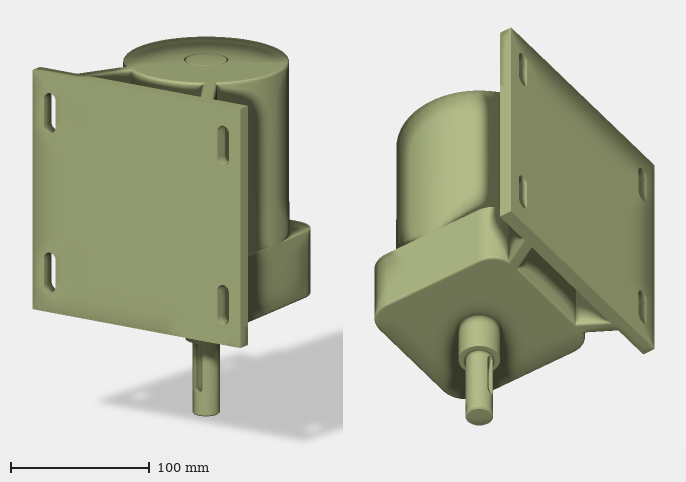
import cadquery as cq
import math

PLATE_SIZE = 180.0
PLATE_THICKNESS = 10.0
SLOT_WIDTH = 10.0
SLOT_LENGTH = 30.0
SLOT_SPACING_X = 150.0
SLOT_SPACING_Z = 120.0

OVERALL_DEPTH = 151.38
GEARBOX_WIDTH = 120.0
GEARBOX_HEIGHT = 50.0
GEARBOX_BACK_RADIUS = 20.0
GEARBOX_FRONT_RADIUS = 18.62
MOTOR_DIAMETER = GEARBOX_WIDTH
EDGE_RADIUS = 2.0

GROOVE_DIAMETER = 32.0
GROOVE_DEPTH = 2.0
LEDGE_DIAMETER = 31.0
LEDGE_HEIGHT = 0.5
REAR_SHAFT_DIAMETER = 30.0
REAR_SHAFT_RADIUS = 0.5

LEG_THICKNESS = 10.0
LEG_ANGLE = 60.0
LEG_FOOT_SPAN = GEARBOX_WIDTH
LEG_ROOT_OVERLAP = 5.0

COLLAR_DIAMETER = 30.0
COLLAR_LENGTH = 30.0
SHAFT_DIAMETER = 20.0
SHAFT_LENGTH = 56.0
SHAFT_CHAMFER = 1.0
KEYWAY_WIDTH = 6.0
KEYWAY_LENGTH = 36.0
KEYWAY_DEPTH = 3.5
KEYWAY_TOP_GAP = 2.0

PLATE_FRONT_Y = GEARBOX_WIDTH / 2 - OVERALL_DEPTH
PLATE_BACK_Y = PLATE_FRONT_Y + PLATE_THICKNESS


def make_body():
    """Gearbox, motor and legs, rounded around their top and bottom edges."""
    gearbox = (
        cq.Workplane("XY")
        .rect(GEARBOX_WIDTH, GEARBOX_WIDTH)
        .extrude(GEARBOX_HEIGHT)
        .edges("|Z and >Y")
        .fillet(GEARBOX_BACK_RADIUS)
        .edges("|Z and <Y")
        .fillet(GEARBOX_FRONT_RADIUS)
    )
    motor = cq.Workplane("XY").circle(MOTOR_DIAMETER / 2).extrude(PLATE_SIZE)
    body = gearbox.union(motor)
    for side in (-1, 1):
        body = body.union(make_leg(side))
    body = body.faces("<Z or >Z").edges().fillet(EDGE_RADIUS)
    root_trim = cq.Workplane("XY").box(
        PLATE_SIZE, LEG_ROOT_OVERLAP, PLATE_SIZE, centered=(True, False, False)
    )
    return body.cut(root_trim.translate((0, PLATE_BACK_Y - LEG_ROOT_OVERLAP, 0)))


def make_leg(side):
    """Full-height wall on the -X or +X side, running from the plate up into the motor."""
    slope = math.radians(LEG_ANGLE)
    foot_width = LEG_THICKNESS / math.sin(slope)
    root_y = PLATE_BACK_Y - LEG_ROOT_OVERLAP
    head_y = -MOTOR_DIAMETER / 4

    def outer_x(y):
        return LEG_FOOT_SPAN / 2 - (y - PLATE_BACK_Y) / math.tan(slope)

    return (
        cq.Workplane("XY")
        .moveTo(side * outer_x(root_y), root_y)
        .lineTo(side * outer_x(head_y), head_y)
        .lineTo(side * (outer_x(head_y) - foot_width), head_y)
        .lineTo(side * (outer_x(root_y) - foot_width), root_y)
        .close()
        .extrude(PLATE_SIZE)
    )


def make_plate():
    """Square plate with four upright through slots."""
    plate = cq.Workplane("XY").box(
        PLATE_SIZE, PLATE_THICKNESS, PLATE_SIZE, centered=(True, False, False)
    )
    slots = (
        cq.Workplane("XZ")
        .center(0, PLATE_SIZE / 2)
        .rarray(SLOT_SPACING_X, SLOT_SPACING_Z, 2, 2)
        .slot2D(SLOT_LENGTH, SLOT_WIDTH, 90)
        .extrude(-PLATE_THICKNESS)
    )
    return plate.cut(slots).translate((0, PLATE_FRONT_Y, 0))


def make_shaft():
    """Collar and keyed shaft, hanging down from the gearbox."""
    collar = cq.Workplane("XY").circle(COLLAR_DIAMETER / 2).extrude(-COLLAR_LENGTH)
    shaft = (
        cq.Workplane("XY", origin=(0, 0, -COLLAR_LENGTH))
        .circle(SHAFT_DIAMETER / 2)
        .extrude(-SHAFT_LENGTH)
        .faces("<Z")
        .chamfer(SHAFT_CHAMFER)
    )
    keyway_z = -COLLAR_LENGTH - KEYWAY_TOP_GAP - KEYWAY_LENGTH / 2
    keyway = (
        cq.Workplane("XZ", origin=(0, -SHAFT_DIAMETER / 2, keyway_z))
        .slot2D(KEYWAY_LENGTH, KEYWAY_WIDTH, 90)
        .extrude(-KEYWAY_DEPTH)
    )
    return collar.union(shaft.cut(keyway))


def make_top_groove():
    """Ring-shaped cutter that leaves a rounded shaft end standing on a low ledge."""
    floor = cq.Workplane("XY", origin=(0, 0, PLATE_SIZE - GROOVE_DEPTH))
    bore = floor.circle(GROOVE_DIAMETER / 2).extrude(GROOVE_DEPTH)
    ledge = floor.circle(LEDGE_DIAMETER / 2).extrude(LEDGE_HEIGHT)
    rear_shaft = (
        floor.circle(REAR_SHAFT_DIAMETER / 2)
        .extrude(GROOVE_DEPTH)
        .faces(">Z")
        .fillet(REAR_SHAFT_RADIUS)
    )
    return bore.cut(ledge).cut(rear_shaft)


result = make_body().union(make_plate()).union(make_shaft()).cut(make_top_groove())